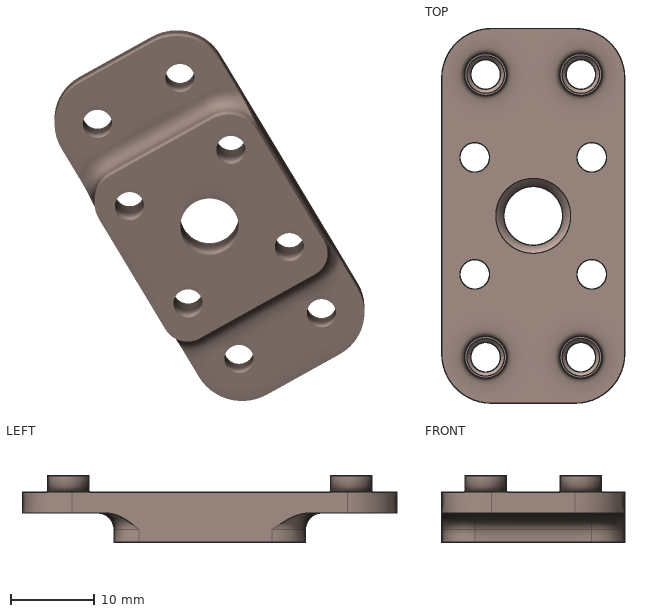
import cadquery as cq

length = 45.0
width = 22.0
plate_thickness = 2.5
plate_corner_radius = 6.0

base_height = 3.5
base_length = 23.0
base_front_radius = 4.0
base_back_radius = 3.0
base_fillet_radius = 2.0

boss_height = 2.0
boss_diameter = 5.0
boss_half_pitch_x = 5.7
boss_half_pitch_y = 16.95
boss_chamfer = 0.5
foot_height = 0.1
foot_diameter = 5.15

screw_hole_diameter = 3.5
screw_half_pitch = 7.0
center_hole_diameter = 7.0
countersink_width = 1.0

plate_top = base_height + plate_thickness
overall_height = plate_top + boss_height
boss_points = [(x, y) for x in (-boss_half_pitch_x, boss_half_pitch_x)
               for y in (-boss_half_pitch_y, boss_half_pitch_y)]
screw_points = [(x, y) for x in (-screw_half_pitch, screw_half_pitch)
                for y in (-screw_half_pitch, screw_half_pitch)]


def make_body():
    """Base and plate, blended by a fillet that is trimmed at the plate sides."""
    base = cq.Workplane("XY").box(width, base_length, base_height, centered=(True, True, False))
    base = base.edges("|Z and <Y").fillet(base_front_radius)
    base = base.edges("|Z and >Y").fillet(base_back_radius)

    wide_plate_width = width + 4 * base_fillet_radius
    wide_plate = (
        cq.Workplane("XY").workplane(offset=base_height)
        .rect(wide_plate_width, length).extrude(plate_thickness)
    )
    margin = 0.05
    junction = cq.selectors.BoxSelector(
        (-width / 2 - margin, -base_length / 2 - margin, base_height - margin),
        (width / 2 + margin, base_length / 2 + margin, base_height + margin),
    )
    blended = base.union(wide_plate).edges(junction).fillet(base_fillet_radius)

    envelope = (
        cq.Workplane("XY").rect(width, length).extrude(plate_top)
        .edges("|Z").fillet(plate_corner_radius)
    )
    return blended.intersect(envelope)


def make_cylinders(points, diameter, bottom, height):
    """Upright cylinders of one size, standing at the given points."""
    return (
        cq.Workplane("XY").workplane(offset=bottom)
        .pushPoints(points).circle(diameter / 2).extrude(height)
    )


def make_bosses():
    """Bosses together with their feet."""
    bosses = make_cylinders(boss_points, boss_diameter, plate_top, boss_height)
    feet = make_cylinders(boss_points, foot_diameter, plate_top, foot_height)
    return bosses.union(feet)


def make_countersinks(points, diameter, top, chamfer):
    """45-degree cones that widen hole mouths at the given height."""
    cone = cq.Solid.makeCone(diameter / 2, diameter / 2 + chamfer, chamfer)
    return (
        cq.Workplane("XY").workplane(offset=top - chamfer)
        .pushPoints(points).eachpoint(lambda place: cone.moved(place))
    )


result = make_body().union(make_bosses())

result = result.cut(make_cylinders(screw_points, screw_hole_diameter, 0, plate_top))

result = result.cut(make_cylinders([(0, 0)], center_hole_diameter, 0, plate_top))
result = result.cut(make_countersinks([(0, 0)], center_hole_diameter, plate_top, countersink_width))

result = result.cut(make_cylinders(boss_points, screw_hole_diameter, 0, overall_height))
result = result.cut(make_countersinks(boss_points, screw_hole_diameter, overall_height, boss_chamfer))